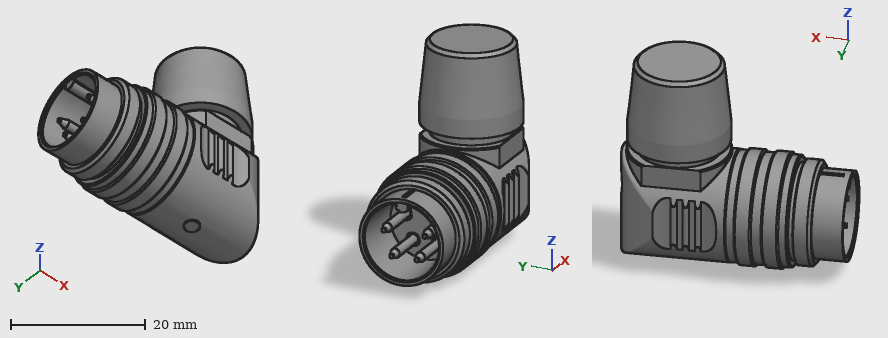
import cadquery as cq
import math

total_length = 34.55
mouth_x = 0.0
body_start_x = 17.55
body_radius = 8.5
elbow_radius = 8.55
elbow_axis_x = total_length - elbow_radius
cap_axis_x = 25.9
miter_fillet = 0.5

shell_radius = 6.8
collar_start_x = 4.63
collar_end_x = 7.43
collar_radius = 7.98
collar_chamfer = 0.5
collar_end_chamfer = 0.25
neck_radius = 7.4
sleeve_start_x = 8.05
sleeve_radius = 8.43
sleeve_chamfer = 0.2
ring_radius = 8.75
ring_starts_x = (9.35, 13.47)
ring_width = 2.65
ring_chamfer = 0.28

mouth_radius = 6.25
mouth_depth = 0.25
socket_radius = 6.0
socket_floor_radius = 5.7
socket_depth = 9.0
key_start_x = mouth_x + mouth_depth
key_radius = 1.1
key_center_z = 5.77
key_web_width = 1.8
key_web_start_z = 5.53
pin_circle_radius = 3.5
pin_angles = (18, 162, 234, 306)
pin_radius = 0.743
pin_bevel_radius = 0.65
pin_tip_radius = 0.35
pin_tip_x = 1.05
pin_taper_start_x = 1.28
pin_taper_end_x = 2.2
pin_bevel_end_x = 2.42
pin_recess_radius = 1.07
pin_recess_depth = 0.28
mark_start_x = 1.07
mark_width = 0.55
mark_height = 0.052

boss_radius = 7.88
boss_top_z = 8.95
boss_chamfer = 0.2
boss_flat_y = 6.5
cap_neck_radius = 6.25
cap_bottom_z = 10.55
cap_radius = 7.755
cap_taper_z = 13.47
cap_shoulder_z = 22.87
cap_shoulder_radius = 6.77
cap_top_z = 23.5
cap_top_radius = 6.2

grip_center_x = 23.5
grip_floor_y = 7.4
grip_rear_radius = 3.35
grip_front_radius = 3.0
grip_front_x = 26.22
grip_front_y = 7.32
rib_radius = 0.5
rib_pitch = 1.83
rib_count = 3

pocket_radius = 2.95
pocket_z = 3.45
pocket_floor_x = 33.5
button_x = 24.25
button_radius = 1.2
button_bottom_z = -8.67


def x_cylinder(radius, start_x, end_x, y=0.0, z=0.0):
    """Solid cylinder along X."""
    return cq.Workplane("YZ", origin=(start_x, y, z)).circle(radius).extrude(end_x - start_x)


def z_cylinder(radius, x, start_z, end_z):
    """Solid cylinder along Z, centred on y = 0."""
    return cq.Workplane("XY", origin=(x, 0, start_z)).circle(radius).extrude(end_z - start_z)


def revolve_about_x(points):
    """Solid turned about X from (x, radius) points that start and end on the axis."""
    return cq.Workplane("XY").polyline(points).close().revolve(360, (0, 0, 0), (1, 0, 0))


def make_elbow():
    """Horizontal barrel whose far end is rounded about a vertical axis, with rounded miters."""
    barrel = x_cylinder(body_radius, body_start_x, total_length + 0.35)
    outline = z_cylinder(elbow_radius, elbow_axis_x, -2 * body_radius, 2 * body_radius)
    straight = cq.Workplane("XY").box(
        elbow_axis_x - body_start_x, 4 * body_radius, 4 * body_radius
    ).translate(((elbow_axis_x + body_start_x) / 2, 0, 0))
    elbow = barrel.intersect(outline.union(straight))
    reach = 2 * body_radius
    miter_edges = cq.selectors.BoxSelector(
        (elbow_axis_x + 0.35, -reach, -reach), (total_length + 0.35, reach, reach), boundingbox=True
    )
    return elbow.edges(miter_edges).fillet(miter_fillet)


def cut_grips(body):
    """Scoop a ribbed finger grip into both sides of the elbow."""
    half_pitch_span = (rib_count - 1) / 2
    rear_x = grip_center_x - half_pitch_span * rib_pitch - rib_radius
    scoop = cq.Workplane("XY").box(
        grip_front_x - rear_x, body_radius, 2 * body_radius, centered=(False, False, True)
    ).translate((rear_x, grip_floor_y, 0))
    for radius, x, bottom_y in (
        (grip_rear_radius, rear_x, grip_floor_y),
        (grip_front_radius, grip_front_x, grip_front_y),
    ):
        end = z_cylinder(radius, x, -body_radius, body_radius)
        scoop = scoop.union(end.translate((0, bottom_y + radius, 0)))
    for i in range(rib_count):
        rib_x = grip_center_x + (i - half_pitch_span) * rib_pitch
        rib = z_cylinder(rib_radius, rib_x, -body_radius, body_radius)
        scoop = scoop.cut(rib.translate((0, grip_floor_y, 0)))
    return body.cut(scoop).cut(scoop.mirror("XZ"))


def make_cable_boss():
    """Round boss with two side flats that carries the cap."""
    boss = z_cylinder(boss_radius, cap_axis_x, 0, boss_top_z).faces(">Z").chamfer(boss_chamfer)
    flats = cq.Workplane("XY").box(4 * boss_radius, 2 * boss_flat_y, 4 * boss_top_z)
    return boss.intersect(flats.translate((cap_axis_x, 0, 0)))


def make_cap():
    """Clamping cap with its short neck, turned about the vertical axis."""
    neck_root_z = boss_top_z - 0.35
    profile = [
        (0, neck_root_z),
        (cap_neck_radius, neck_root_z),
        (cap_neck_radius, cap_bottom_z),
        (cap_radius, cap_bottom_z),
        (cap_radius, cap_taper_z),
        (cap_shoulder_radius, cap_shoulder_z),
        (cap_top_radius, cap_top_z),
        (0, cap_top_z),
    ]
    cap = cq.Workplane("XZ").polyline(profile).close().revolve(360, (0, 0, 0), (0, 1, 0))
    return cap.translate((cap_axis_x, 0, 0))


def make_sleeve():
    """Turned plug shell, collar and coupling sleeve with two raised rings."""
    profile = [
        (mouth_x, 0),
        (mouth_x, shell_radius),
        (collar_start_x, shell_radius),
        (collar_start_x, neck_radius),
        (collar_start_x + collar_chamfer, collar_radius),
        (collar_end_x - collar_end_chamfer, collar_radius),
        (collar_end_x, neck_radius),
        (sleeve_start_x, neck_radius),
        (sleeve_start_x, sleeve_radius - sleeve_chamfer),
        (sleeve_start_x + sleeve_chamfer, sleeve_radius),
    ]
    for start_x in ring_starts_x:
        end_x = start_x + ring_width
        profile += [
            (start_x, sleeve_radius),
            (start_x + ring_chamfer, ring_radius),
            (end_x - ring_chamfer, ring_radius),
            (end_x, sleeve_radius),
        ]
    profile += [
        (body_start_x - sleeve_chamfer, sleeve_radius),
        (body_start_x, sleeve_radius - sleeve_chamfer),
        (body_start_x, 0),
    ]
    return revolve_about_x(profile)


def make_socket():
    """Tapered round cavity with a shallow counterbored mouth."""
    return revolve_about_x([
        (mouth_x, 0),
        (mouth_x, mouth_radius),
        (mouth_x + mouth_depth, mouth_radius),
        (mouth_x + mouth_depth, socket_radius),
        (socket_depth, socket_floor_radius),
        (socket_depth, 0),
    ])


def make_key():
    """Rib along the top of the socket wall: a web with a wider rounded lower edge."""
    length = socket_depth - key_start_x
    web = cq.Workplane("XY").box(length, key_web_width, key_radius, centered=(False, True, False))
    web = web.translate((key_start_x, 0, key_web_start_z))
    space_above = cq.Workplane("XY").box(
        length, 4 * key_radius, 4 * key_radius, centered=(False, True, False)
    ).translate((key_start_x, 0, key_web_start_z))
    edge = x_cylinder(key_radius, key_start_x, socket_depth, z=key_center_z).cut(space_above)
    shell = x_cylinder((mouth_radius + shell_radius) / 2, key_start_x, socket_depth)
    socket_side = x_cylinder(socket_radius, key_start_x, socket_depth)
    return edge.union(web.intersect(socket_side)).intersect(shell)


def make_pin():
    """Contact pin on the X axis with a tapered tip, rooted below the socket floor."""
    root_x = socket_depth + 2 * pin_recess_depth
    return revolve_about_x([
        (pin_tip_x, 0),
        (pin_tip_x, pin_tip_radius),
        (pin_taper_start_x, pin_tip_radius),
        (pin_taper_end_x, pin_bevel_radius),
        (pin_bevel_end_x, pin_radius),
        (root_x, pin_radius),
        (root_x, 0),
    ])


def add_pins(body):
    """Set the pins on their circle, each in a shallow round recess of the socket floor."""
    recess_end_x = socket_depth + pin_recess_depth
    for angle in pin_angles:
        y = pin_circle_radius * math.cos(math.radians(angle))
        z = pin_circle_radius * math.sin(math.radians(angle))
        body = body.cut(x_cylinder(pin_recess_radius, socket_depth, recess_end_x, y, z))
        body = body.union(make_pin().translate((0, y, z)))
    return body


def make_mark():
    """Narrow raised line on top of the plug shell."""
    length = collar_start_x - mark_start_x
    bar = cq.Workplane("XY").box(length, mark_width, shell_radius, centered=(False, True, False))
    tube = x_cylinder(shell_radius + mark_height, mark_start_x, collar_start_x)
    core = x_cylinder(socket_radius + mark_height, mark_start_x, collar_start_x)
    bar = bar.translate((mark_start_x, 0, 2 * mark_height))
    return bar.intersect(tube.cut(core))


body = cut_grips(make_elbow())
body = body.union(make_cable_boss()).union(make_cap()).union(make_sleeve())
body = body.union(z_cylinder(button_radius, button_x, button_bottom_z, -body_radius / 2))
body = body.cut(x_cylinder(pocket_radius, pocket_floor_x, total_length + 0.35, z=pocket_z))
body = body.cut(make_socket()).union(make_key()).union(make_mark())
result = add_pins(body)